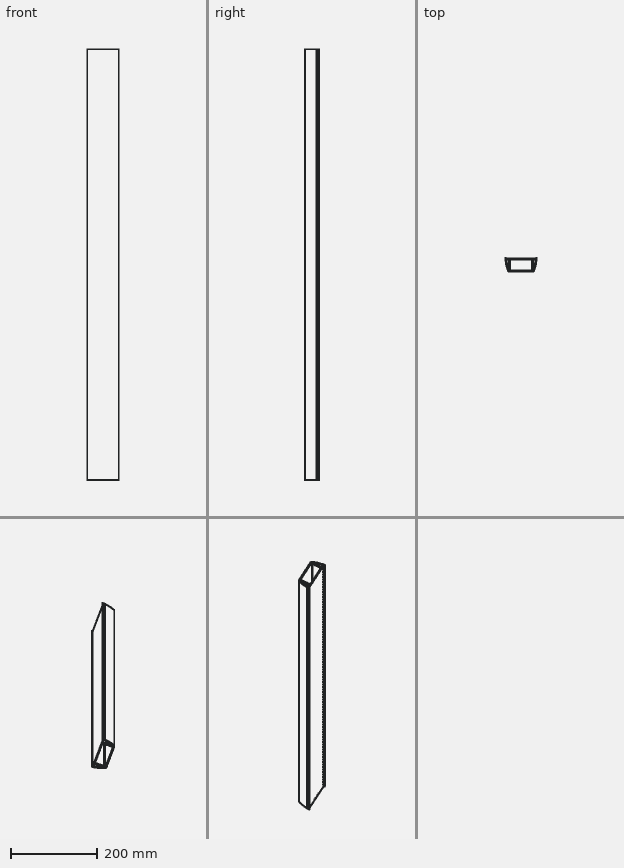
import cadquery as cq
import math

length = 1000.0
width = 74.0
height = 33.0
back_y = height / 2
front_y = -height / 2
half_width = width / 2

flank_radius = 80.0
flank_angle = math.radians(20.9)
flank_center_x = half_width - flank_radius

plate_recess = 2.0
plate_thickness = 2.5
lip_thickness = 2.0
lip_depth = 7.0
leg_spacing = 50.0
leg_thickness = 3.0
leg_end_y = -10.0

reveal = 0.5
wall_thickness = 3.0
floor_thickness = 3.0
front_corner_radius = 4.5

plate_back_y = back_y - plate_recess
plate_front_y = plate_back_y - plate_thickness
lip_end_y = back_y - lip_depth
floor_y = front_y + floor_thickness


def flank_x(inset, y):
    """Half width of the curved flank at y, moved inward by inset."""
    return flank_center_x + math.sqrt((flank_radius - inset) ** 2 - (back_y - y) ** 2)


def extrude_flanked(inset, bottom_y, top_y):
    """Full-length solid between two Y levels, with its sides parallel to the outer flanks."""
    curve_end_y = back_y - (flank_radius - inset) * math.sin(flank_angle)
    arc_bottom_y = max(bottom_y, curve_end_y)
    arc_mid_y = (arc_bottom_y + top_y) / 2
    top_x = flank_x(inset, top_y)
    mid_x = flank_x(inset, arc_mid_y)
    arc_bottom_x = flank_x(inset, arc_bottom_y)
    outline = (
        cq.Workplane("XY", origin=(0, 0, -length / 2))
        .moveTo(arc_bottom_x, arc_bottom_y)
        .threePointArc((mid_x, arc_mid_y), (top_x, top_y))
        .lineTo(-top_x, top_y)
        .threePointArc((-mid_x, arc_mid_y), (-arc_bottom_x, arc_bottom_y))
    )
    if bottom_y < curve_end_y:
        bottom_x = arc_bottom_x - (curve_end_y - bottom_y) * math.tan(flank_angle)
        outline = outline.lineTo(-bottom_x, bottom_y).lineTo(bottom_x, bottom_y)
    return outline.close().extrude(length)


def extrude_rectangle(left_x, right_x, bottom_y, top_y):
    """Full-length rectangular bar."""
    return (
        cq.Workplane("XY", origin=(0, 0, -length / 2))
        .center((left_x + right_x) / 2, (bottom_y + top_y) / 2)
        .rect(right_x - left_x, top_y - bottom_y)
        .extrude(length)
    )


def make_base():
    body = extrude_flanked(0, lip_end_y, back_y)
    body = body.cut(extrude_flanked(lip_thickness, lip_end_y, plate_front_y))
    rim_x = half_width - lip_thickness
    body = body.cut(extrude_rectangle(-rim_x, rim_x, plate_back_y, back_y))
    leg_inner_x = leg_spacing / 2
    leg_outer_x = leg_inner_x + leg_thickness
    body = body.union(extrude_rectangle(leg_inner_x, leg_outer_x, leg_end_y, plate_front_y))
    return body.union(extrude_rectangle(-leg_outer_x, -leg_inner_x, leg_end_y, plate_front_y))


def make_cover():
    channel = extrude_flanked(reveal, front_y, lip_end_y)
    channel = channel.faces("<Y").edges("|Z").fillet(front_corner_radius)
    tongues = extrude_flanked(lip_thickness, lip_end_y, plate_front_y)
    cavity = extrude_flanked(reveal + wall_thickness, floor_y, plate_front_y)
    return channel.union(tongues).cut(cavity)


base = make_base()
cover = make_cover()

result = cq.Compound.makeCompound([base.solids().val(), cover.solids().val()])